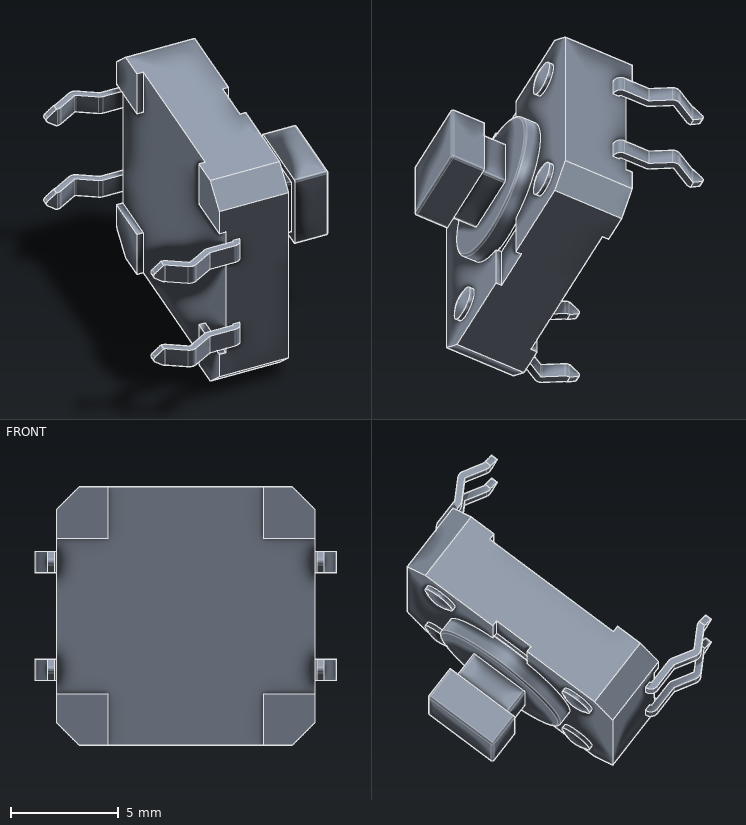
import cadquery as cq
import math


housing_width = 12.0
housing_top = 3.5
corner_chamfer = 1.06
foot_size = 2.4
foot_height = 0.32

rivet_spacing = 8.0
rivet_diameter = 1.61
rivet_rim_height = 0.21
rivet_dome_height = 0.2

recess_depth = 0.11
notch_width = 2.0
notch_depth = 0.3
notch_overlap = 0.2

disc_diameter = 7.0
disc_top = 4.3
stem_width = 3.0
cap_width = 3.8
cap_bottom = 5.6
cap_top = 7.3
edge_radius = 0.1

pin_span = 14.0
pin_spacing = 5.0
pin_width = 1.0
pin_thickness = 0.32
pin_exit_top = 1.01
pin_gap = 0.08
pin_bottom = -3.5
bend_inner_radius = 0.07
elbow_height = -1.79
elbow_angle = 30.0
tip_half_angle = 39.0
tip_radius = 0.18

half_width = housing_width / 2
disc_radius = disc_diameter / 2
recess_floor = housing_top - recess_depth
bend_middle_radius = bend_inner_radius + pin_thickness / 2
bend_outer_radius = bend_inner_radius + pin_thickness


def plane_at(height):
    """Workplane facing +Y at the given height; its own x and y run along Z and X."""
    return cq.Workplane("ZX", origin=(0, height, 0))


def square_block(width, bottom, top):
    """Block centred on the Y axis, with rounded edges along Y."""
    block = plane_at(bottom).rect(width, width).extrude(top - bottom)
    return block.edges("|Y").fillet(edge_radius)


def make_rivet_head():
    """Low cylinder with a spherical dome, standing on the housing top at the Y axis."""
    radius = rivet_diameter / 2
    rim = housing_top + rivet_rim_height
    crown = rim + rivet_dome_height
    sphere_radius = (radius**2 + rivet_dome_height**2) / (2 * rivet_dome_height)
    middle_x = radius / 2
    middle_y = crown - sphere_radius + math.sqrt(sphere_radius**2 - middle_x**2)
    profile = (
        cq.Workplane("XY")
        .moveTo(0, housing_top)
        .lineTo(radius, housing_top)
        .lineTo(radius, rim)
        .threePointArc((middle_x, middle_y), (0, crown))
        .close()
    )
    return profile.revolve(360, (0, 0, 0), (0, 1, 0))


def make_housing():
    housing = plane_at(0).rect(housing_width, housing_width).extrude(housing_top)
    housing = housing.edges("|Y").chamfer(corner_chamfer)
    clear_width = housing_width - 2 * foot_size
    housing = housing.cut(plane_at(0).rect(clear_width, housing_width).extrude(foot_height))
    housing = housing.cut(plane_at(0).rect(housing_width, clear_width).extrude(foot_height))

    rivet_head = make_rivet_head()
    for x_side in (-1, 1):
        for z_side in (-1, 1):
            place = (x_side * rivet_spacing / 2, 0, z_side * rivet_spacing / 2)
            housing = housing.union(rivet_head.translate(place))

    housing = housing.cut(plane_at(recess_floor).circle(disc_radius).extrude(recess_depth))

    notch_length = half_width - disc_radius + notch_overlap
    notch_middle = half_width - notch_length / 2
    notches = (
        plane_at(housing_top - notch_depth)
        .pushPoints([(notch_middle, 0), (-notch_middle, 0)])
        .rect(notch_length, notch_width)
        .extrude(notch_depth)
    )
    return housing.cut(notches).solids()


def make_plunger():
    disc = plane_at(recess_floor).circle(disc_radius).extrude(disc_top - recess_floor)
    disc = disc.faces(">Y").edges().fillet(edge_radius)
    stem = square_block(stem_width, disc_top, cap_bottom)
    cap = square_block(cap_width, cap_bottom, cap_top)
    cap = cap.faces(">Y").edges().fillet(edge_radius)
    return disc.union(stem).union(cap).solids()


def pin_centreline():
    """Corner points of the +X pin: out of the housing, down, out to the elbow, back in, down."""
    leg_x = half_width + pin_gap + pin_thickness / 2
    exit_y = pin_exit_top - pin_thickness / 2
    slope = math.radians(elbow_angle)
    elbow_x = pin_span / 2 - bend_outer_radius + bend_middle_radius / math.cos(slope)
    rise = (elbow_x - leg_x) / math.tan(slope)
    return [
        (half_width, exit_y),
        (leg_x, exit_y),
        (leg_x, elbow_height + rise),
        (elbow_x, elbow_height),
        (leg_x, elbow_height - rise),
        (leg_x, pin_bottom),
    ]


def make_pin():
    """Pin on the +X side, centred on Z = 0."""
    path = cq.Wire.makePolygon([cq.Vector(x, y, 0) for x, y in pin_centreline()])
    bends = path.Vertices()[1:-1]
    path = path.fillet(bend_middle_radius, bends)
    strip = (
        cq.Workplane("YZ", origin=path.startPoint().toTuple())
        .rect(pin_thickness, pin_width)
        .sweep(cq.Workplane(path))
    )

    half_pin = pin_width / 2
    taper = math.radians(tip_half_angle)
    apex = pin_bottom - tip_radius * (1 / math.sin(taper) - 1)
    shoulder = apex + half_pin / math.tan(taper)
    outline = [
        (pin_exit_top, -half_pin),
        (shoulder, -half_pin),
        (apex, 0),
        (shoulder, half_pin),
        (pin_exit_top, half_pin),
    ]
    blank = cq.Workplane("YZ").polyline(outline).close().extrude(pin_span / 2)
    blank = blank.edges("|X").edges("<Y").fillet(tip_radius)
    return strip.intersect(blank).solids()


def make_pins():
    right_pin = make_pin()
    left_pin = right_pin.mirror("YZ")
    pins = []
    for pin in (right_pin, left_pin):
        for z_side in (-1, 1):
            pins.append(pin.translate((0, 0, z_side * pin_spacing / 2)).val())
    return pins


housing = make_housing()
plunger = make_plunger()
pins = make_pins()

result = cq.Compound.makeCompound([housing.val(), plunger.val(), *pins])